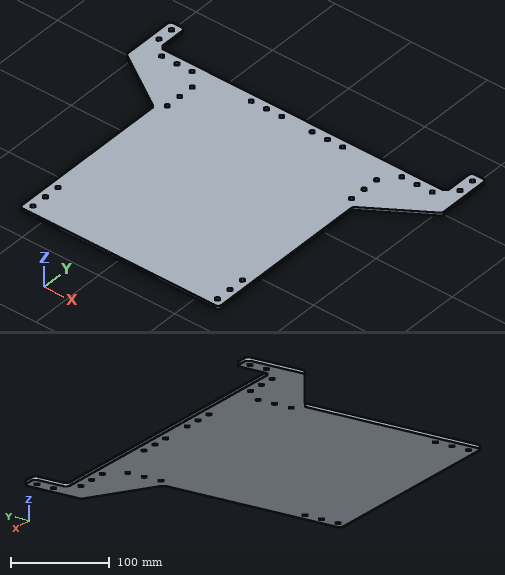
import cadquery as cq

plate_width = 415.0
plate_length = 334.75
thickness = 4.0
body_width = 262.0
tab_width = 20.0
tab_height = 40.0
shoulder_drop = 70.0
taper_end_drop = 120.0

corner_radius = 5.0

hole_diameter = 5.0
hole_pitch = 20.0
edge_margin = 10.0
holes_per_group = 3
holes_per_tab = 2

top_y = plate_length / 2
bottom_y = -top_y
head_y = top_y - tab_height
shoulder_y = top_y - shoulder_drop
taper_end_y = top_y - taper_end_drop
half_plate = plate_width / 2
half_body = body_width / 2
tab_inner_x = half_plate - tab_width


def make_plate():
    """Symmetric plate with every outline corner rounded."""
    right_side = [
        (half_body, bottom_y),
        (half_body, taper_end_y),
        (half_plate, shoulder_y),
        (half_plate, top_y),
        (tab_inner_x, top_y),
        (tab_inner_x, head_y),
    ]
    left_side = [(-x, y) for x, y in reversed(right_side)]
    plate = cq.Workplane("XY").polyline(right_side + left_side).close().extrude(thickness)

    return plate.edges("|Z").fillet(corner_radius)


def hole_row(start_x, y, step):
    """Group of holes along X."""
    return [(start_x + i * step, y) for i in range(holes_per_group)]


def hole_column(x, start_y, count, step):
    """Group of holes along Y."""
    return [(x, start_y + i * step) for i in range(count)]


def hole_centres():
    """Hole centres on the +X half, then mirrored to the -X half."""
    tab_hole_x = half_plate - edge_margin
    body_hole_x = half_body - edge_margin
    row_y = head_y - edge_margin

    centres = hole_column(tab_hole_x, top_y - edge_margin, holes_per_tab, -hole_pitch)
    centres += hole_row(tab_hole_x - hole_pitch, row_y, -hole_pitch)
    centres += hole_row(hole_pitch, row_y, hole_pitch)
    centres += hole_column(body_hole_x, row_y - hole_pitch, holes_per_group, -hole_pitch)
    centres += hole_column(body_hole_x, bottom_y + edge_margin, holes_per_group, hole_pitch)
    return centres + [(-x, y) for x, y in centres]


def drill_holes(plate):
    """Through holes in every group."""
    cutters = cq.Workplane("XY").pushPoints(hole_centres()).circle(hole_diameter / 2).extrude(thickness)
    return plate.cut(cutters)


result = drill_holes(make_plate())